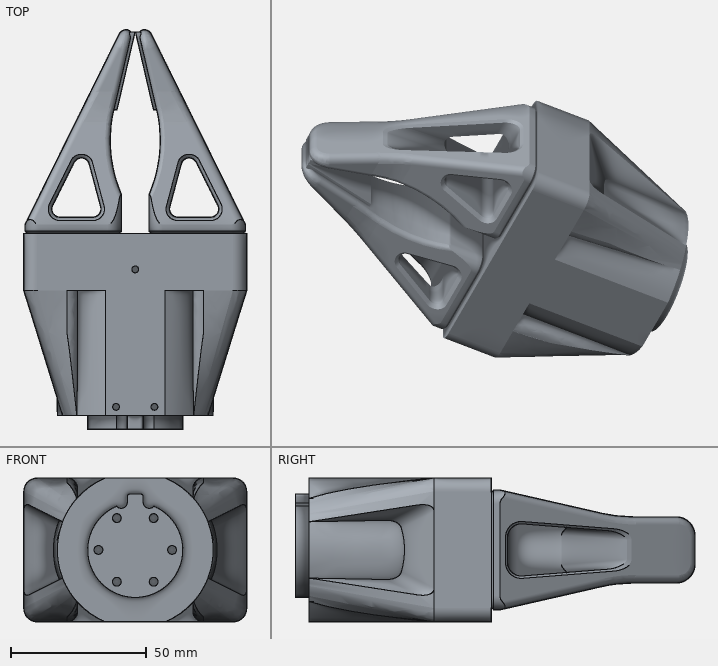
import cadquery as cq
import math

OVERCUT = 1.5
TOUCH = 0.0001

BOX_WIDTH = 82.0
HEIGHT = 53.0
CORNER_RADIUS = 5.0
FLANGE_THICKNESS = 5.0
TAIL_LENGTH = 46.0
BOX_DEPTH = 21.0
CORE_RADIUS = 28.7

TAIL_START = FLANGE_THICKNESS
BOX_START = TAIL_START + TAIL_LENGTH
BOX_END = BOX_START + BOX_DEPTH

FLANGE_RADIUS = 17.5
KEY_HALF_WIDTH = 3.0
KEY_TOP = 20.6
KEY_CORNER_RADIUS = 1.0
KEY_RELIEF_RADIUS = 2.2
SCREW_DIAMETER = 3.2
SCREW_CIRCLE_RADIUS = 13.5
SCREW_COUNT = 6
SCREW_DEPTH = 4.4

PIN_DIAMETER = 2.5
PIN_DEPTH = 4.4
PIN_PLACES = [(0, 58.8), (-7.0, 8.2), (7.0, 8.2)]

CHANNEL_HALF_WIDTH = 21.2
CHANNEL_FLOOR_HEIGHT = 14.7
CHANNEL_LIP_RADIUS = 4.0
CHANNEL_TAIL_LIP_HEIGHT = 17.3

POCKET_INNER_X = 27.2
POCKET_INNER_HALF_HEIGHT = 10.6
POCKET_WALL_SLOPE = 0.5
POCKET_FILLET = 4.4
POCKET_CORE_FLARE = 1.9

TIP_Y = 147.0
FINGER_INNER_X = 5.0
FINGER_OUTER_X = 40.6
FINGER_SHOULDER_Y = 75.3
FINGER_SIDE_SLOPE = 0.494
FINGER_TIP_INNER_X = 1.0
BASE_HALF_HEIGHT = 22.0
TIP_HALF_HEIGHT = 12.2
TIP_CORNER_RADIUS = 7.0
WAIST_START_Y = 124.1
WAIST_RADIUS = 50.0
OUTER_FILLET = 3.0
INNER_FILLET = 1.8
BASE_CHAMFER = 0.9

GRIP_END = (8.0, 117.2)
GRIP_MIDDLE = (9.3, 105.3)
GRIP_START_Y = 86.2

PAD_THICKNESS_X = 1.2
PAD_END_Y = 146.1
PAD_SETBACK = 0.3
PAD_EMBED = 0.7
PAD_HALF_HEIGHT = 8.8

WINDOW_BASE_Y = 78.0
WINDOW_INNER_X = 11.8
WINDOW_OUTER_X = 32.5
WINDOW_APEX = (19.0, 105.1)
WINDOW_RADIUS = 3.0
WINDOW_CHAMFER = 1.3
OPENING_FLOOR_X = 17.0
OPENING_BASE_HALF_HEIGHT = 10.0
OPENING_END_HALF_HEIGHT = 6.2
OPENING_END_Y = 126.5
OPENING_CORNER_RADIUS = 5.0
OPENING_FILLET = 3.0
OPENING_CHAMFER = 0.9


def cross_section(y):
    """Sketch plane across the gripper: local x is X, local y is Z, extruding toward +Y when negative."""
    return cq.Workplane("XZ", origin=(0, y, 0))


def block_outline(plane):
    """Rounded rectangle drawn with one edge per side and per corner."""
    a, b = BOX_WIDTH / 2, HEIGHT / 2
    s, t = a - CORNER_RADIUS, b - CORNER_RADIUS
    k = CORNER_RADIUS * math.sqrt(0.5)
    return (
        plane.moveTo(a, -t).lineTo(a, t)
        .threePointArc((s + k, t + k), (s, b)).lineTo(-s, b)
        .threePointArc((-s - k, t + k), (-a, t)).lineTo(-a, -t)
        .threePointArc((-s - k, -t - k), (-s, -b)).lineTo(s, -b)
        .threePointArc((s + k, -t - k), (a, -t)).close()
    )


def core_point(angle):
    return (CORE_RADIUS * math.cos(angle), CORE_RADIUS * math.sin(angle))


def core_outline(plane):
    """Circle split into eight arcs that face the eight edges of the block outline."""
    a, b = BOX_WIDTH / 2, HEIGHT / 2
    low = math.atan2(b - CORNER_RADIUS, a)
    high = math.atan2(b, a - CORNER_RADIUS)
    ends = [low, high, math.pi - high, math.pi - low,
            math.pi + low, math.pi + high, 2 * math.pi - high, 2 * math.pi - low]
    start = -low
    outline = plane.moveTo(*core_point(start))
    for end in ends:
        outline = outline.threePointArc(core_point((start + end) / 2), core_point(end))
        start = end
    return outline.close()


def tapered_tail():
    block_wire = block_outline(cross_section(BOX_START)).val()
    core_wire = core_outline(cross_section(TAIL_START)).val()
    return cq.Workplane(cq.Solid.makeLoft([core_wire, block_wire], True))


def core_cylinder():
    core = cross_section(TAIL_START).circle(CORE_RADIUS).extrude(-TAIL_LENGTH)
    slab = cq.Workplane("XY").box(BOX_WIDTH, 2 * BOX_END, HEIGHT)
    return core.intersect(slab)


def channel_section(y, lip_height):
    """Channel outline at one Y: vertical walls, then rounded lips starting at lip_height."""
    wall = CHANNEL_HALF_WIDTH
    rise = CHANNEL_LIP_RADIUS * math.sqrt(0.5)
    set_in = CHANNEL_LIP_RADIUS - rise
    lip_x = wall + CHANNEL_LIP_RADIUS
    lip_top = lip_height + CHANNEL_LIP_RADIUS
    top = CORE_RADIUS + OVERCUT
    return (
        cross_section(y)
        .moveTo(-wall, CHANNEL_FLOOR_HEIGHT)
        .lineTo(wall, CHANNEL_FLOOR_HEIGHT)
        .lineTo(wall, lip_height)
        .threePointArc((wall + set_in, lip_height + rise), (lip_x, lip_top))
        .lineTo(lip_x, top)
        .lineTo(-lip_x, top)
        .lineTo(-lip_x, lip_top)
        .threePointArc((-wall - set_in, lip_height + rise), (-wall, lip_height))
        .close().val()
    )


def channel():
    """Upper channel between the ribs, its lips following the falling rib tops."""
    tail_end = channel_section(TAIL_START, CHANNEL_TAIL_LIP_HEIGHT)
    box_end = channel_section(BOX_START, HEIGHT / 2 - CHANNEL_LIP_RADIUS)
    return cq.Workplane(cq.Solid.makeLoft([tail_end, box_end], True))


def pocket_half_height(x):
    return POCKET_INNER_HALF_HEIGHT + POCKET_WALL_SLOPE * (x - POCKET_INNER_X)


def flared_core():
    """Slightly conical core that shows at the bottom of the side pockets."""
    return cq.Workplane(cq.Solid.makeCone(
        CORE_RADIUS, CORE_RADIUS + POCKET_CORE_FLARE, TAIL_LENGTH,
        pnt=cq.Vector(0, TAIL_START, 0), dir=cq.Vector(0, 1, 0)))


def side_pocket():
    """Wedge-shaped pocket on the +X side, stopping at the conical core."""
    near_x = CHANNEL_HALF_WIDTH
    far_x = BOX_WIDTH / 2 + POCKET_FILLET
    near_z = pocket_half_height(near_x)
    far_z = pocket_half_height(far_x)
    wedge = (
        cross_section(0)
        .polyline([(near_x, -near_z), (far_x, -far_z), (far_x, far_z), (near_x, near_z)])
        .close().extrude(-BOX_END)
    )
    floor_offset = BOX_START - BOX_WIDTH / 2
    below_floor = (
        cq.Workplane("XY")
        .polyline([(near_x, 0), (far_x, 0), (far_x, far_x + floor_offset), (near_x, near_x + floor_offset)])
        .close().extrude(HEIGHT, both=True)
    )
    floor_edges = wedge.intersect(below_floor).faces(">(-1, 1, 0)").edges("not |Z")
    return floor_edges.fillet(POCKET_FILLET).cut(flared_core())


def flange():
    """Mounting flange with a locating key and a round relief on each side of it."""
    disc = cross_section(0).circle(FLANGE_RADIUS).extrude(-FLANGE_THICKNESS)
    relief_x = KEY_HALF_WIDTH + KEY_RELIEF_RADIUS
    relief = (
        cross_section(0).pushPoints([(-relief_x, FLANGE_RADIUS), (relief_x, FLANGE_RADIUS)])
        .circle(KEY_RELIEF_RADIUS).extrude(-FLANGE_THICKNESS)
    )
    key = (
        cross_section(0).center(0, KEY_TOP / 2).rect(2 * KEY_HALF_WIDTH, KEY_TOP)
        .extrude(-FLANGE_THICKNESS).edges("|Y and >Z").fillet(KEY_CORNER_RADIUS)
    )
    return disc.cut(relief).union(key)


def make_housing():
    box = block_outline(cross_section(BOX_START)).extrude(-BOX_DEPTH)
    groove = channel()
    tail = tapered_tail().cut(groove).cut(groove.mirror("XY"))
    pocket = side_pocket()
    tail = tail.cut(pocket).cut(pocket.mirror("YZ"))
    housing = box.union(tail).union(core_cylinder()).union(flange())
    screws = (
        cross_section(0).polarArray(SCREW_CIRCLE_RADIUS, 0, 360, SCREW_COUNT)
        .circle(SCREW_DIAMETER / 2).extrude(-SCREW_DEPTH)
    )
    pins = (
        cq.Workplane("XY", origin=(0, 0, HEIGHT / 2)).pushPoints(PIN_PLACES)
        .circle(PIN_DIAMETER / 2).extrude(-PIN_DEPTH)
    )
    return housing.cut(screws).cut(pins)


def outer_x(y):
    """X of the finger's sloping outer face."""
    return FINGER_OUTER_X - FINGER_SIDE_SLOPE * (y - FINGER_SHOULDER_Y)


def inner_x(y):
    """X of the finger's straight inner face near the tip."""
    grip_x, grip_y = GRIP_END
    return grip_x - (grip_x - FINGER_TIP_INNER_X) * (y - grip_y) / (TIP_Y - grip_y)


def finger_plan():
    """Finger outline seen along Z."""
    return (
        cq.Workplane("XY")
        .moveTo(FINGER_INNER_X, BOX_END)
        .lineTo(FINGER_OUTER_X, BOX_END)
        .lineTo(FINGER_OUTER_X, FINGER_SHOULDER_Y)
        .lineTo(outer_x(TIP_Y), TIP_Y)
        .lineTo(FINGER_TIP_INNER_X, TIP_Y)
        .lineTo(*GRIP_END)
        .tangentArcPoint((FINGER_INNER_X, GRIP_START_Y), relative=False)
        .close().extrude(BASE_HALF_HEIGHT, both=True)
    )


def finger_profile():
    """Finger outline seen along X: straight tip, curved waist and a widening base."""
    center_rise = WAIST_RADIUS + TIP_HALF_HEIGHT - BASE_HALF_HEIGHT
    center_run = WAIST_START_Y - FINGER_SHOULDER_Y
    slope_angle = math.atan2(center_run, center_rise) - math.acos(
        WAIST_RADIUS / math.hypot(center_run, center_rise))
    waist_end_y = WAIST_START_Y - WAIST_RADIUS * math.sin(slope_angle)
    waist_end_z = TIP_HALF_HEIGHT + WAIST_RADIUS * (1 - math.cos(slope_angle))
    waist_mid_y = WAIST_START_Y - WAIST_RADIUS * math.sin(slope_angle / 2)
    waist_mid_z = TIP_HALF_HEIGHT + WAIST_RADIUS * (1 - math.cos(slope_angle / 2))
    return (
        cq.Workplane("YZ")
        .moveTo(BOX_END, -BASE_HALF_HEIGHT)
        .lineTo(FINGER_SHOULDER_Y, -BASE_HALF_HEIGHT)
        .lineTo(waist_end_y, -waist_end_z)
        .threePointArc((waist_mid_y, -waist_mid_z), (WAIST_START_Y, -TIP_HALF_HEIGHT))
        .lineTo(TIP_Y, -TIP_HALF_HEIGHT)
        .lineTo(TIP_Y, TIP_HALF_HEIGHT)
        .lineTo(WAIST_START_Y, TIP_HALF_HEIGHT)
        .threePointArc((waist_mid_y, waist_mid_z), (waist_end_y, waist_end_z))
        .lineTo(FINGER_SHOULDER_Y, BASE_HALF_HEIGHT)
        .lineTo(BOX_END, BASE_HALF_HEIGHT)
        .close().extrude(BOX_WIDTH / 2)
        .edges("|X and >Y").fillet(TIP_CORNER_RADIUS)
    )


def outer_face(finger):
    middle_y = (FINGER_SHOULDER_Y + TIP_Y) / 2
    return finger.faces(cq.NearestToPointSelector((outer_x(middle_y), middle_y, 0)))


def inner_faces(finger):
    """The curved grip face and the straight face above it."""
    pad_y = (GRIP_END[1] + TIP_Y) / 2
    straight = finger.faces(cq.NearestToPointSelector((inner_x(pad_y), pad_y, 0)))
    return finger.faces(cq.NearestToPointSelector((*GRIP_MIDDLE, 0))).add(straight)


def base_corners():
    """Material outside the rounded base block at its four corners."""
    width = FINGER_OUTER_X - FINGER_INNER_X
    middle_x = (FINGER_OUTER_X + FINGER_INNER_X) / 2
    length = GRIP_MIDDLE[1] - BOX_END
    block = cross_section(BOX_END).center(middle_x, 0).rect(width, 2 * BASE_HALF_HEIGHT).extrude(-length)
    return block.cut(block.edges("|Y").fillet(CORNER_RADIUS))


def window():
    """Triangular hole through the finger along Z."""
    return (
        cq.Workplane("XY")
        .polyline([(WINDOW_INNER_X, WINDOW_BASE_Y), (WINDOW_OUTER_X, WINDOW_BASE_Y), WINDOW_APEX])
        .close().extrude(BASE_HALF_HEIGHT + OVERCUT, both=True)
        .edges("|Z").fillet(WINDOW_RADIUS)
    )


def side_opening():
    """Tapered opening from the outer face into the window, with a filleted flat floor above it."""
    return (
        cq.Workplane("YZ", origin=(OPENING_FLOOR_X, 0, 0))
        .polyline([
            (WINDOW_BASE_Y, -OPENING_BASE_HALF_HEIGHT), (OPENING_END_Y, -OPENING_END_HALF_HEIGHT),
            (OPENING_END_Y, OPENING_END_HALF_HEIGHT), (WINDOW_BASE_Y, OPENING_BASE_HALF_HEIGHT),
        ])
        .close().extrude(FINGER_OUTER_X - OPENING_FLOOR_X + OVERCUT)
        .edges("|X and <Y").fillet(OPENING_CORNER_RADIUS)
        .faces("<X").edges("not <Y").fillet(OPENING_FILLET)
    )


def grip_pad():
    """Thin pad on the straight inner face."""
    root_y = GRIP_END[1] + PAD_SETBACK
    return (
        cq.Workplane("XY")
        .polyline([
            (inner_x(root_y) - PAD_THICKNESS_X, root_y),
            (inner_x(PAD_END_Y) - PAD_THICKNESS_X, PAD_END_Y),
            (inner_x(PAD_END_Y) + PAD_EMBED, PAD_END_Y),
            (inner_x(root_y) + PAD_EMBED, root_y),
        ])
        .close().extrude(PAD_HALF_HEIGHT, both=True)
    )


def lies_on(edge, shape):
    return shape.val().distance(edge) < TOUCH


def make_finger():
    finger = finger_plan().intersect(finger_profile())
    finger = outer_face(finger).edges("not <Y").fillet(OUTER_FILLET)
    finger = finger.cut(base_corners())
    finger = inner_faces(finger).edges("(not |Z) or >Y").fillet(INNER_FILLET)
    finger = finger.faces("<Y").edges().chamfer(BASE_CHAMFER)
    hole = window()
    finger = finger.cut(hole)
    hole_rims = finger.edges("not |Z").filter(lambda edge: lies_on(edge, hole))
    finger = hole_rims.chamfer(WINDOW_CHAMFER)
    opening = side_opening()
    finger = finger.cut(opening)
    opening_rim = outer_face(finger).edges().filter(lambda edge: lies_on(edge, opening))
    finger = opening_rim.chamfer(OPENING_CHAMFER)
    return finger.union(grip_pad())


housing = make_housing()

fingers = []
for side in (1, -1):
    finger = make_finger()
    if side < 0:
        finger = finger.mirror("YZ")
    fingers.append(finger.val())

result = cq.Compound.makeCompound([housing.val(), *fingers])